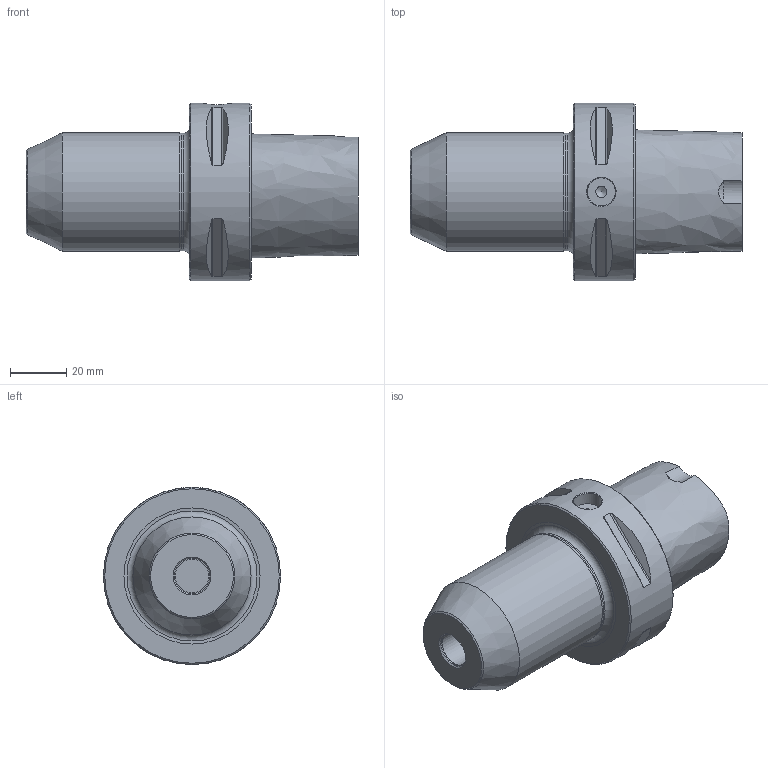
import cadquery as cq
import math


flange_width = 22.0
flange_front = 58.0
flange_back = flange_front + flange_width
shank_length = 38.0
shank_end = flange_back + shank_length

body_radius = 42.0 / 2
nose_radius = 15.2
nose_length = 12.8
nose_chamfer = 0.5

neck_radius = 41.8 / 2
undercut_depth = body_radius - neck_radius
undercut_start = 54.5
neck_start = 55.2
undercut_fillet = 2.2
undercut_outer_radius = 24.2

flange_radius = 63.0 / 2
flange_chamfer = 0.5

bore_radius = 12.0 / 2
bore_depth = 45.0
bore_relief_radius = 12.5 / 2
bore_relief_depth = 1.0
bore_chamfer = 0.5

shank_mean_radius = 22.05
shank_taper = 1.0 / 20
shank_end_mean_radius = shank_mean_radius - shank_length * shank_taper / 2
lobe_count = 3
lobe_height = 1.4
section_points = 36

notch_radius = 6.0
notch_axis_height = 23.9
notch_length = 6.4

rim_feature_x = flange_back - 12.0
groove_floor_distance = 28.0
groove_floor_width = 3.8
groove_wall_angle = 30.0
groove_fillet = 0.6
groove_angles = (45, 135, 225, 315)
chip_hole_radius = 10.0 / 2
chip_hole_floor = 26.5
chip_hole_chamfer = 0.25
pilot_radius = 4.0 / 2
pilot_depth = 1.0
drill_half_angle = 59.0


def turned_body():
    """Nose, body, undercut and flange as one revolved profile."""
    undercut_face = flange_front + undercut_depth
    fillet_start = undercut_face - undercut_fillet
    fillet_end_radius = neck_radius + undercut_fillet
    fillet_offset = undercut_fillet * math.sqrt(0.5)
    fillet_middle = (fillet_start + fillet_offset, fillet_end_radius - fillet_offset)
    profile = (
        cq.Workplane("XY")
        .moveTo(0, 0)
        .lineTo(0, nose_radius - nose_chamfer)
        .lineTo(nose_chamfer, nose_radius)
        .lineTo(nose_length, body_radius)
        .lineTo(undercut_start, body_radius)
        .lineTo(neck_start, neck_radius)
        .lineTo(fillet_start, neck_radius)
        .threePointArc(fillet_middle, (undercut_face, fillet_end_radius))
        .lineTo(flange_front, undercut_outer_radius)
        .lineTo(flange_front, flange_radius - flange_chamfer)
        .lineTo(flange_front + flange_chamfer, flange_radius)
        .lineTo(flange_back - flange_chamfer, flange_radius)
        .lineTo(flange_back, flange_radius - flange_chamfer)
        .lineTo(flange_back, 0)
        .close()
    )
    return profile.revolve(360, (0, 0, 0), (1, 0, 0))


def lobed_point(mean_radius, turn):
    """Point on the lobed section; turn runs from 0 to 1 once around the X axis."""
    normal = 2 * math.pi * turn
    phase = lobe_count * (normal + math.pi / 2)
    support = mean_radius + lobe_height * math.cos(phase)
    slope = -lobe_count * lobe_height * math.sin(phase)
    y = support * math.cos(normal) - slope * math.sin(normal)
    z = support * math.sin(normal) + slope * math.cos(normal)
    return y, z


def lobed_section(x, mean_radius):
    """Closed smooth wire of the lobed section at a place along the axis."""
    points = []
    for index in range(section_points):
        y, z = lobed_point(mean_radius, index / section_points)
        points.append(cq.Vector(x, y, z))
    return cq.Wire.assembleEdges([cq.Edge.makeSpline(points, periodic=True)])


def polygon_shank():
    """Tapered shank between a large section at the flange and a small one at the end."""
    large_section = lobed_section(flange_back, shank_mean_radius)
    small_section = lobed_section(shank_end, shank_end_mean_radius)
    return cq.Solid.makeLoft([large_section, small_section], True)


def tool_bore():
    """Blind bore with a slightly wider, chamfered mouth."""
    mouth_radius = bore_relief_radius + bore_chamfer
    profile = (
        cq.Workplane("XY")
        .moveTo(0, 0)
        .lineTo(0, mouth_radius)
        .lineTo(bore_chamfer, bore_relief_radius)
        .lineTo(bore_relief_depth, bore_relief_radius)
        .lineTo(bore_relief_depth, bore_radius)
        .lineTo(bore_depth, bore_radius)
        .lineTo(bore_depth, 0)
        .close()
    )
    return profile.revolve(360, (0, 0, 0), (1, 0, 0))


def orientation_notch():
    """Round-bottomed notch along X with a 45 degree conical inner end."""
    cone_start = shank_end - notch_length
    profile = (
        cq.Workplane("XZ")
        .moveTo(shank_end, notch_axis_height)
        .lineTo(shank_end, notch_axis_height - notch_radius)
        .lineTo(cone_start, notch_axis_height - notch_radius)
        .lineTo(cone_start - notch_radius, notch_axis_height)
        .close()
    )
    return profile.revolve(360, (shank_end, notch_axis_height, 0), (0, notch_axis_height, 0))


def gripper_groove():
    """Straight groove along Y with sloped walls, cut into the +Z side of the flange."""
    groove_height = flange_radius - groove_floor_distance
    half_floor = groove_floor_width / 2
    half_top = half_floor + groove_height * math.tan(math.radians(groove_wall_angle))
    return (
        cq.Workplane("XZ")
        .moveTo(rim_feature_x - half_floor, groove_floor_distance)
        .lineTo(rim_feature_x + half_floor, groove_floor_distance)
        .lineTo(rim_feature_x + half_top, flange_radius)
        .lineTo(rim_feature_x - half_top, flange_radius)
        .close()
        .extrude(flange_radius, both=True)
        .edges("|Y and <Z")
        .fillet(groove_fillet)
    )


def chip_hole():
    """Flat-bottomed hole in the top of the flange with a drilled pilot in its floor."""
    pilot_floor = chip_hole_floor - pilot_depth
    pilot_tip = pilot_floor - pilot_radius / math.tan(math.radians(drill_half_angle))
    profile = (
        cq.Workplane("XZ", origin=(rim_feature_x, 0, 0))
        .moveTo(0, flange_radius)
        .lineTo(chip_hole_radius, flange_radius)
        .lineTo(chip_hole_radius, chip_hole_floor)
        .lineTo(pilot_radius, chip_hole_floor)
        .lineTo(pilot_radius, pilot_floor)
        .lineTo(0, pilot_tip)
        .close()
    )
    return profile.revolve(360, (0, 0, 0), (0, 1, 0))


result = turned_body().cut(tool_bore()).cut(chip_hole())
chip_hole_rim = cq.selectors.NearestToPointSelector((rim_feature_x, 0, flange_radius))
result = result.edges(chip_hole_rim).chamfer(chip_hole_chamfer)
for angle in groove_angles:
    result = result.cut(gripper_groove().rotate((0, 0, 0), (1, 0, 0), angle))
result = result.union(polygon_shank()).cut(orientation_notch())